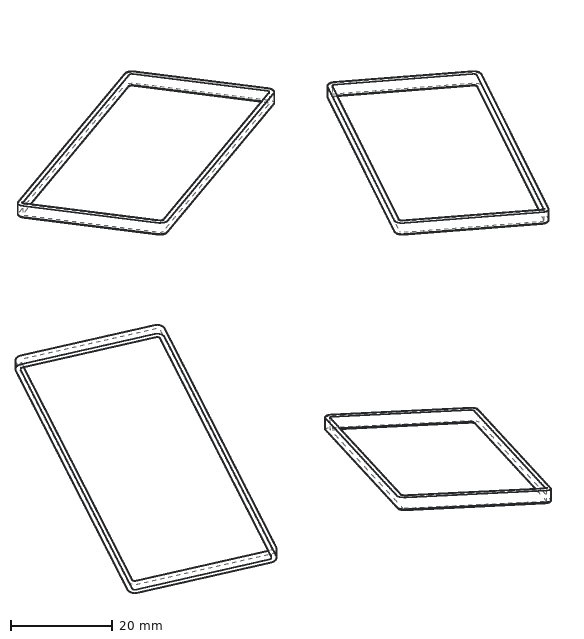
import cadquery as cq

length = 71.5
width = 31.0
height = 3.1

wall = 1.0
dome_width = 0.5
dome_rise = 0.11
bevel_drop = 0.25
outer_corner_radius = 1.6

half_width = (width - wall) / 2
half_length = (length - wall) / 2
corner_radius = outer_corner_radius - wall / 2
straight_x = half_width - corner_radius
straight_y = half_length - corner_radius


def wall_centerline():
    """Closed rounded rectangle, counter-clockwise from the middle of the -Y side."""
    return (
        cq.Workplane("XY")
        .moveTo(0, -half_length)
        .lineTo(straight_x, -half_length)
        .radiusArc((half_width, -straight_y), -corner_radius)
        .lineTo(half_width, straight_y)
        .radiusArc((straight_x, half_length), -corner_radius)
        .lineTo(-straight_x, half_length)
        .radiusArc((-half_width, straight_y), -corner_radius)
        .lineTo(-half_width, -straight_y)
        .radiusArc((-straight_x, -half_length), -corner_radius)
        .close()
    )


def wall_section():
    """Upright wall section with bevelled, domed rims, placed where the centreline starts."""
    plane = cq.Plane(origin=(0, -half_length, 0), xDir=(0, 1, 0), normal=(1, 0, 0))
    half_wall = wall / 2
    crest = height / 2
    half_dome = dome_width / 2
    dome_foot = crest - dome_rise
    shoulder = dome_foot - bevel_drop
    return (
        cq.Workplane(plane)
        .moveTo(-half_wall, -shoulder)
        .lineTo(-half_dome, -dome_foot)
        .threePointArc((0, -crest), (half_dome, -dome_foot))
        .lineTo(half_wall, -shoulder)
        .lineTo(half_wall, shoulder)
        .lineTo(half_dome, dome_foot)
        .threePointArc((0, crest), (-half_dome, dome_foot))
        .lineTo(-half_wall, shoulder)
        .close()
    )


result = wall_section().sweep(wall_centerline())